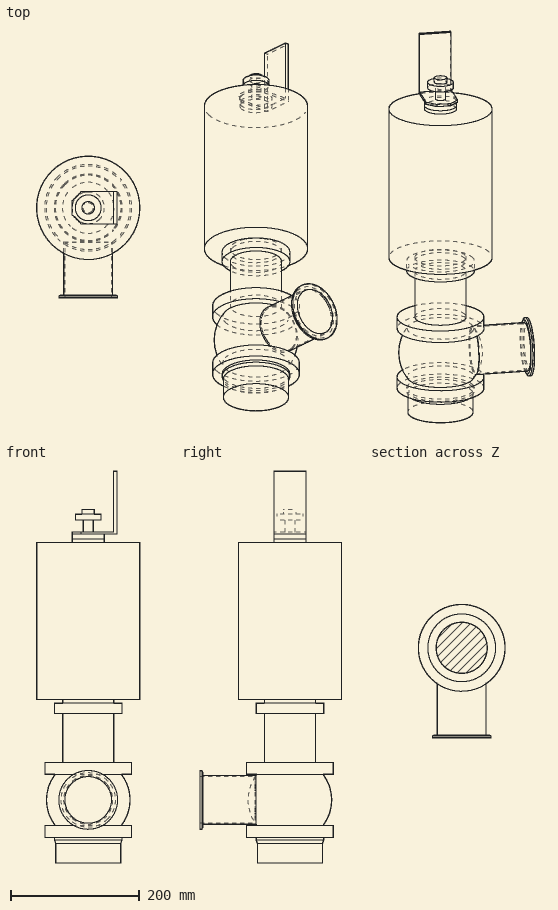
import cadquery as cq

COUPLING_BOTTOM_Z = 0.0
FERRULE_TAPER_Z = 30.5
FERRULE_RIM_Z = 36.0
LOWER_FLANGE_Z = 39.5
PORT_Z = 98.0
FLANGE_THICKNESS = 19.0
UPPER_FLANGE_Z = 2 * PORT_Z - LOWER_FLANGE_Z - FLANGE_THICKNESS
COLLAR_Z = 232.0
COLLAR_TOP_Z = 248.0
ACTUATOR_Z = 254.0
ACTUATOR_TOP_Z = 498.0
PLATE_Z = 510.5
SPLIT_Z = 503.0
NUT_Z = 532.5
NUT_TOP_Z = 541.5
STEM_TOP_Z = 549.0
BRACKET_TOP_Z = 608.5

COUPLING_DIAMETER = 101.5
COLLAR_DIAMETER = 105.0
FLANGE_DIAMETER = 135.0
BALL_DIAMETER = 130.0
NECK_DIAMETER = 80.0
ACTUATOR_DIAMETER = 160.5
BOSS_DIAMETER = 50.0
STEM_DIAMETER = 16.0
NUT_DIAMETER = 40.0
STEM_HEAD_DIAMETER = 19.5

PORT_DIAMETER = 76.0
PORT_BORE_DIAMETER = 72.5
PORT_RIM_DIAMETER = 91.0
PORT_TAPER_DIAMETER = 84.5
TOTAL_DEPTH = 220.0
PORT_LENGTH = TOTAL_DEPTH - ACTUATOR_DIAMETER / 2
PORT_RIM_THICKNESS = 3.0
PORT_TAPER_LENGTH = 2.0

BRACKET_WIDTH = BOSS_DIAMETER
BRACKET_LEFT_X = -BOSS_DIAMETER / 2
BRACKET_RIGHT_X = 45.0
PLATE_THICKNESS = 3.5
UPRIGHT_THICKNESS = 6.0
BRACKET_CORNER_CUT = 14.0


def cylinder(diameter, bottom, top):
    """Vertical cylinder on the main axis between two heights."""
    return cq.Workplane("XY").workplane(offset=bottom).circle(diameter / 2).extrude(top - bottom)


def port_cylinder(diameter, start, end):
    """Cylinder on the port axis between two distances from the main axis."""
    plane = cq.Workplane("XZ", origin=(0, -start, PORT_Z))
    return plane.circle(diameter / 2).extrude(end - start)


def make_ball():
    """Spherical valve chamber between the two flanges."""
    ball = cq.Workplane("XY").sphere(BALL_DIAMETER / 2).translate((0, 0, PORT_Z))
    return ball.intersect(cylinder(FLANGE_DIAMETER, LOWER_FLANGE_Z, UPPER_FLANGE_Z + FLANGE_THICKNESS))


def make_port():
    """Side tube with a tapered ferrule, bored along its length."""
    rim_start = PORT_LENGTH - PORT_RIM_THICKNESS
    taper_start = rim_start - PORT_TAPER_LENGTH
    taper = (
        cq.Workplane("XZ", origin=(0, -taper_start, PORT_Z))
        .circle(PORT_TAPER_DIAMETER / 2)
        .workplane(offset=PORT_TAPER_LENGTH)
        .circle(PORT_RIM_DIAMETER / 2)
        .loft()
    )
    tube = port_cylinder(PORT_DIAMETER, 0, PORT_LENGTH)
    tube = tube.union(taper).union(port_cylinder(PORT_RIM_DIAMETER, rim_start, PORT_LENGTH))
    return tube.cut(port_cylinder(PORT_BORE_DIAMETER, 0, PORT_LENGTH))


def make_lower_ferrule():
    """Rim below the lower flange, tapering down to the coupling."""
    taper = (
        cq.Workplane("XY")
        .workplane(offset=FERRULE_TAPER_Z)
        .circle(COUPLING_DIAMETER / 2)
        .workplane(offset=FERRULE_RIM_Z - FERRULE_TAPER_Z)
        .circle(COLLAR_DIAMETER / 2)
        .loft()
    )
    return taper.union(cylinder(COLLAR_DIAMETER, FERRULE_RIM_Z, LOWER_FLANGE_Z))


def make_valve():
    """Valve housing, neck, actuator and the lower part of the top boss."""
    valve = cylinder(COUPLING_DIAMETER, COUPLING_BOTTOM_Z, LOWER_FLANGE_Z).union(make_lower_ferrule())
    for flange_bottom in (LOWER_FLANGE_Z, UPPER_FLANGE_Z):
        valve = valve.union(cylinder(FLANGE_DIAMETER, flange_bottom, flange_bottom + FLANGE_THICKNESS))
    valve = valve.union(cylinder(NECK_DIAMETER, UPPER_FLANGE_Z, ACTUATOR_Z))
    valve = valve.union(cylinder(COLLAR_DIAMETER, COLLAR_Z, COLLAR_TOP_Z))
    valve = valve.union(cylinder(ACTUATOR_DIAMETER, ACTUATOR_Z, ACTUATOR_TOP_Z))
    valve = valve.union(cylinder(BOSS_DIAMETER, ACTUATOR_TOP_Z, SPLIT_Z))
    return valve.union(make_port()).union(make_ball())


def make_bracket():
    """L-shaped bracket with the upper part of the boss, its stem and nut."""
    plate_top = PLATE_Z + PLATE_THICKNESS
    upright_x = BRACKET_RIGHT_X - UPRIGHT_THICKNESS
    bracket = (
        cq.Workplane("XZ", origin=(0, BRACKET_WIDTH / 2, 0))
        .moveTo(BRACKET_LEFT_X, PLATE_Z)
        .lineTo(BRACKET_RIGHT_X, PLATE_Z)
        .lineTo(BRACKET_RIGHT_X, BRACKET_TOP_Z)
        .lineTo(upright_x, BRACKET_TOP_Z)
        .lineTo(upright_x, plate_top)
        .lineTo(BRACKET_LEFT_X, plate_top)
        .close()
        .extrude(BRACKET_WIDTH)
        .edges("|Z and <X")
        .chamfer(BRACKET_CORNER_CUT)
    )
    bracket = bracket.union(cylinder(BOSS_DIAMETER, SPLIT_Z, PLATE_Z))
    bracket = bracket.union(cylinder(STEM_DIAMETER, PLATE_Z, NUT_Z))
    bracket = bracket.union(cylinder(NUT_DIAMETER, NUT_Z, NUT_TOP_Z))
    return bracket.union(cylinder(STEM_HEAD_DIAMETER, NUT_TOP_Z, STEM_TOP_Z))


valve = make_valve()
bracket = make_bracket()
result = cq.Compound.makeCompound([valve.val(), bracket.val()])